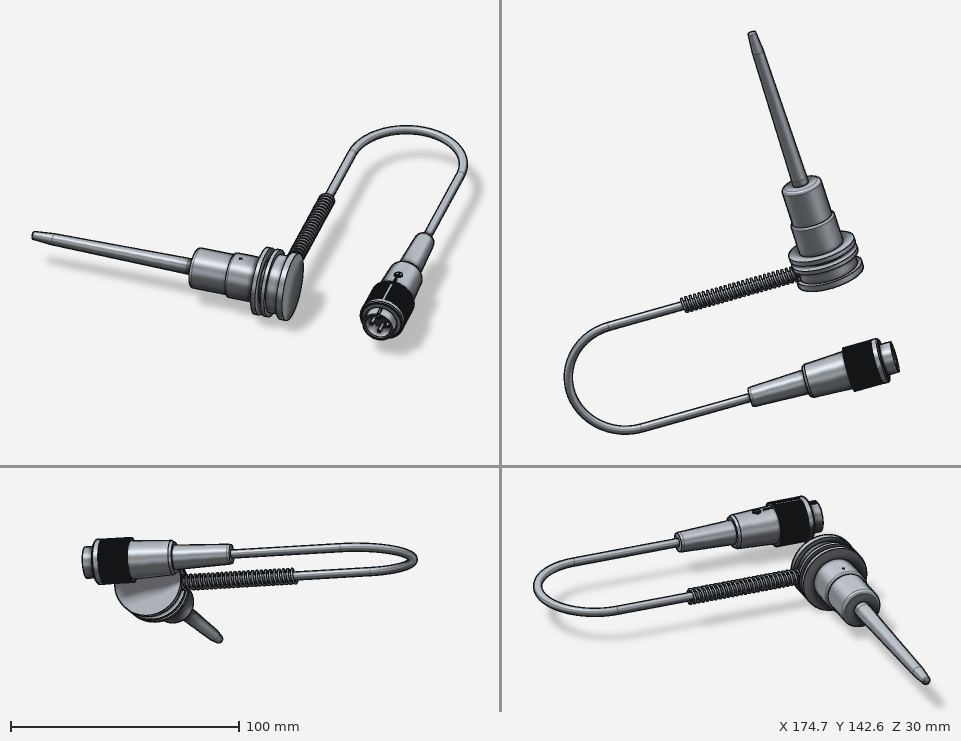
import cadquery as cq
import math


cable_dia = 3.7
bend_radius = 25.0
bend_center_y = 100.0

flange_radius = 15.0
groove_radius = 13.0
barrel_radius = 10.0
nose_radius = 9.0
end_flange_front = -2.75
groove_width = 5.5
groove_front = end_flange_front - groove_width
front_flange_front = -10.0
disc_rear = -12.5
disc_front = -14.5
barrel_front = -28.3
barrel_fillet = 1.0
nose_front = -45.4
nose_fillet = 1.5
vent_hole_dia = 1.0
vent_hole_depth = 2.0
vent_hole_x = -24.0

stem_radius = 3.5
stem_taper_rear = -48.0
stem_taper_front = -110.4
stem_front_radius = 2.55
tip_x = -120.19
tip_radius = cable_dia / 2
tip_dome_radius = 1.23
tip_rounding = tip_radius - tip_dome_radius
tip_dome_height = 0.3

spring_x = end_flange_front - groove_width / 2
spring_seat_dia = 7.2
spring_seat_y = 12.8
spring_wire_dia = 1.0
spring_outer_dia = 7.1
spring_pitch = 2.0
spring_turns = 26.25

plug_x = spring_x + 2 * bend_radius
relief_top = 50.2
relief_top_radius = 4.46
relief_bevel_length = 1.2
relief_bevel = 0.3
relief_bottom_radius = 5.45
grip_top = 24.6
grip_top_radius = 6.8
grip_shoulder_y = 23.3
grip_shoulder_radius = 7.6
grip_bottom_radius = 8.55
ring_top = 5.2
spigot_radius = 7.15
spigot_bottom = -6.0

mark_floor_z = 7.5
screw_face_z = 7.8
screw_y = 13.0
screw_dia = 3.7
screw_slot_width = 0.25
index_bar_width = 1.0
index_bar_top = 9.8

ring_radius = 10.0
ring_bottom = -11.0
ring_bevel = 0.5
ring_lip_radius = 9.0
ring_lip_height = 0.3
knurl_bottom = -7.9
knurl_radius = 9.9
knurl_depth = 0.4
knurl_count = 120
strip_width = 1.5
strip_top = 4.0

shell_radius = 6.95
shell_bore_radius = 5.7
shell_mouth_chamfer = 0.5
shell_bottom = -15.79
insert_face = -8.5
key_width = 1.2
key_inner_radius = 5.1
key_slot_width = 1.0
key_slot_depth = 0.4
key_slot_end = -15.2
pin_dia = 1.5
pin_tip_chamfer = 0.25
pin_circle_radius = 3.5
pin_end = -14.5
pin_count = 4


def turned_about_plug_axis(points):
    """Solid of revolution about the plug axis from (radius, y) points."""
    profile = cq.Workplane("XY", origin=(plug_x, 0, 0)).polyline(points).close()
    return profile.revolve(360, (0, 0, 0), (0, 1, 0))


def cylinder_down(x, z, radius, top_y, bottom_y):
    """Cylinder parallel to Y that runs from top_y down to bottom_y."""
    plane = cq.Plane(origin=(x, top_y, z), xDir=(1, 0, 0), normal=(0, -1, 0))
    return cq.Workplane(plane).circle(radius).extrude(top_y - bottom_y)


def box_between(x_center, x_width, y_low, y_high, z_low, z_high):
    """Box centred on x_center between the given Y and Z limits."""
    box = cq.Workplane("XY").box(x_width, y_high - y_low, z_high - z_low, centered=(True, False, False))
    return box.translate((x_center, y_low, z_low))


def make_probe():
    """Domed stem, stepped housing and flanges turned about X, with the spring seat and vent hole."""
    arc_midpoint = math.sqrt(0.5)
    dome_edge_x = tip_x + tip_dome_height
    dome_middle = (tip_x + tip_dome_height / 4, tip_dome_radius / 2)
    profile = (
        cq.Workplane("XY")
        .moveTo(tip_x, 0)
        .threePointArc(dome_middle, (dome_edge_x, tip_dome_radius))
        .threePointArc(
            (dome_edge_x + tip_rounding * (1 - arc_midpoint), tip_dome_radius + tip_rounding * arc_midpoint),
            (dome_edge_x + tip_rounding, tip_radius),
        )
        .lineTo(stem_taper_front, stem_front_radius)
        .lineTo(stem_taper_rear, stem_radius)
        .lineTo(nose_front, stem_radius)
        .lineTo(nose_front, nose_radius - nose_fillet)
        .radiusArc((nose_front + nose_fillet, nose_radius), nose_fillet)
        .lineTo(barrel_front, nose_radius)
        .radiusArc((barrel_front + barrel_fillet, barrel_radius), barrel_fillet)
        .lineTo(disc_front, barrel_radius)
        .lineTo(disc_front, flange_radius)
        .lineTo(disc_rear, flange_radius)
        .lineTo(disc_rear, barrel_radius)
        .lineTo(front_flange_front, barrel_radius)
        .lineTo(front_flange_front, flange_radius)
        .lineTo(groove_front, flange_radius)
        .lineTo(groove_front, groove_radius)
        .lineTo(end_flange_front, groove_radius)
        .lineTo(end_flange_front, flange_radius)
        .lineTo(0, flange_radius)
        .lineTo(0, 0)
        .close()
    )
    turned = profile.revolve(360, (0, 0, 0), (1, 0, 0))
    seat = cylinder_down(spring_x, 0, spring_seat_dia / 2, flange_radius, spring_seat_y)
    vent_floor = cq.Workplane("XY", origin=(vent_hole_x, 0, barrel_radius - vent_hole_depth))
    vent = vent_floor.circle(vent_hole_dia / 2).extrude(2 * vent_hole_depth)
    return turned.cut(seat).cut(vent)


def make_cable():
    """Round cable from the spring seat up, around the half-circle bend and down to the strain relief."""
    path = (
        cq.Workplane("XY")
        .moveTo(spring_x, spring_seat_y)
        .lineTo(spring_x, bend_center_y)
        .threePointArc((spring_x + bend_radius, bend_center_y + bend_radius), (plug_x, bend_center_y))
        .lineTo(plug_x, relief_top)
    )
    start = cq.Workplane("XZ", origin=(spring_x, spring_seat_y, 0))
    return start.circle(cable_dia / 2).sweep(path)


def make_spring():
    """Right-handed coil of round wire standing on the seat floor and winding up around the cable."""
    mean_radius = (spring_outer_dia - spring_wire_dia) / 2
    height = spring_pitch * spring_turns
    helix = cq.Wire.makeHelix(spring_pitch, height, mean_radius)
    wire_section = cq.Workplane("XZ", origin=(mean_radius, 0, 0)).circle(spring_wire_dia / 2)
    coil = wire_section.sweep(cq.Workplane(helix), isFrenet=True)
    base = cq.Plane(
        origin=(spring_x, spring_seat_y + spring_wire_dia / 2, 0), xDir=(0, 0, -1), normal=(0, 1, 0)
    )
    return cq.Workplane(coil.val().moved(cq.Location(base)))


def make_plug_body():
    """Strain relief, grip and spigot in one piece, with the screw head and index bar sunk in the grip."""
    body = turned_about_plug_axis([
        (0, relief_top),
        (relief_top_radius - relief_bevel, relief_top),
        (relief_top_radius, relief_top - relief_bevel_length),
        (relief_bottom_radius, grip_top),
        (grip_top_radius, grip_top),
        (grip_shoulder_radius, grip_shoulder_y),
        (grip_bottom_radius, ring_top),
        (spigot_radius, ring_top),
        (spigot_radius, spigot_bottom),
        (0, spigot_bottom),
    ])
    screw_face = cq.Workplane("XY", origin=(plug_x, screw_y, screw_face_z))
    screw_recess = screw_face.circle(screw_dia / 2).extrude(ring_radius)
    slot_floor = cq.Workplane("XY", origin=(plug_x, screw_y, mark_floor_z))
    slot_across = slot_floor.rect(screw_dia, screw_slot_width).extrude(ring_radius)
    slot_along = slot_floor.rect(screw_slot_width, screw_dia).extrude(ring_radius)
    index_bar = box_between(plug_x, index_bar_width, ring_top, index_bar_top, mark_floor_z, ring_radius)
    return body.cut(screw_recess).cut(slot_across).cut(slot_along).cut(index_bar)


def make_coupling_ring():
    """Straight-knurled sleeve with a smooth index strip on top and a bevelled, lipped collar below."""
    outline = []
    for tooth in range(knurl_count):
        crest = 2 * math.pi * tooth / knurl_count
        valley = crest + math.pi / knurl_count
        valley_radius = knurl_radius - knurl_depth
        outline.append((knurl_radius * math.cos(crest), knurl_radius * math.sin(crest)))
        outline.append((valley_radius * math.cos(valley), valley_radius * math.sin(valley)))
    plane = cq.Plane(origin=(plug_x, knurl_bottom, 0), xDir=(1, 0, 0), normal=(0, -1, 0))
    knurl = cq.Workplane(plane).polyline(outline).close().extrude(knurl_bottom - ring_top)
    strip = cylinder_down(plug_x, 0, ring_radius, strip_top, knurl_bottom).intersect(
        box_between(plug_x, strip_width, knurl_bottom, strip_top, 0, ring_radius)
    )
    lip_top = ring_bottom + ring_lip_height
    collar = turned_about_plug_axis([
        (0, knurl_bottom),
        (ring_radius, knurl_bottom),
        (ring_radius, lip_top + ring_bevel),
        (ring_radius - ring_bevel, lip_top),
        (ring_lip_radius, lip_top),
        (ring_lip_radius, ring_bottom),
        (0, ring_bottom),
    ])
    bore = cylinder_down(plug_x, 0, spigot_radius, ring_top, ring_bottom)
    return knurl.union(strip).union(collar).cut(bore)


def make_contact_insert():
    """Keyed shell with a closed base that carries the contact pins."""
    insert = cylinder_down(plug_x, 0, shell_radius, spigot_bottom, shell_bottom)
    mouth_radius = shell_bore_radius + shell_mouth_chamfer
    insert = insert.cut(turned_about_plug_axis([
        (0, insert_face),
        (shell_bore_radius, insert_face),
        (shell_bore_radius, shell_bottom + shell_mouth_chamfer),
        (mouth_radius, shell_bottom),
        (0, shell_bottom),
    ]))
    insert = insert.union(
        box_between(plug_x, key_width, shell_bottom, insert_face, key_inner_radius, mouth_radius)
    )
    slot_floor_z = shell_radius - key_slot_depth
    insert = insert.cut(
        box_between(plug_x, key_slot_width, key_slot_end, ring_bottom, slot_floor_z, ring_radius)
    )
    for pin in range(pin_count):
        angle = 2 * math.pi * pin / pin_count
        pin_x = plug_x + pin_circle_radius * math.cos(angle)
        pin_z = pin_circle_radius * math.sin(angle)
        pin_body = cylinder_down(pin_x, pin_z, pin_dia / 2, spigot_bottom, pin_end)
        insert = insert.union(pin_body.faces("<Y").edges().chamfer(pin_tip_chamfer))
    return insert


probe = make_probe()
cable = make_cable()
spring = make_spring()
plug_body = make_plug_body()
coupling_ring = make_coupling_ring()
contact_insert = make_contact_insert()

result = cq.Compound.makeCompound([
    probe.val(),
    cable.val(),
    spring.val(),
    plug_body.val(),
    coupling_ring.val(),
    contact_insert.val(),
])